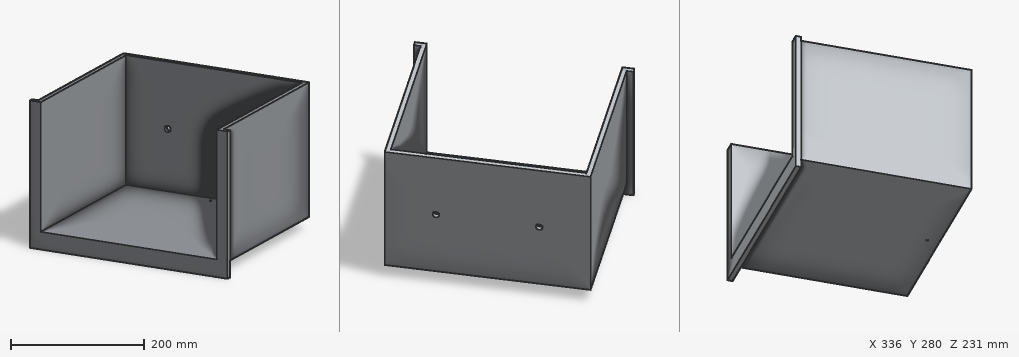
import cadquery as cq

flange_width = 336.0
total_depth = 280.0
total_height = 231.0

wall = 8.0
floor_thickness = 8.0
flange_thickness = 8.0
flange_side_lip = 10.5
flange_bottom_lip = 19.8

back_hole_diameter = 10.0
back_hole_spacing = 158.0
back_hole_height = 125.5
floor_hole_diameter = 2.5
floor_hole_from_back = 19.0


box_width = flange_width - 2 * flange_side_lip
inner_width = box_width - 2 * wall
box_height = total_height - flange_bottom_lip
floor_top = flange_bottom_lip + floor_thickness


def block(width, depth, height, front, bottom):
    """Block centred on X, with its front face and bottom at the given places."""
    return (
        cq.Workplane("XY")
        .box(width, depth, height, centered=(True, False, False))
        .translate((0, front, bottom))
    )


body = block(box_width, total_depth, box_height, 0, flange_bottom_lip)
flange = block(flange_width, flange_thickness, total_height, 0, 0)

cavity = block(inner_width, total_depth - wall, total_height - floor_top, 0, floor_top)

back_holes = (
    cq.Workplane("XZ", origin=(0, total_depth, back_hole_height))
    .rarray(back_hole_spacing, 3.5, 2, 1)
    .circle(back_hole_diameter / 2)
    .extrude(wall)
)

floor_hole = (
    cq.Workplane("XY", origin=(0, total_depth - floor_hole_from_back, flange_bottom_lip))
    .circle(floor_hole_diameter / 2)
    .extrude(floor_thickness)
)

result = body.union(flange).cut(cavity).cut(back_holes).cut(floor_hole)